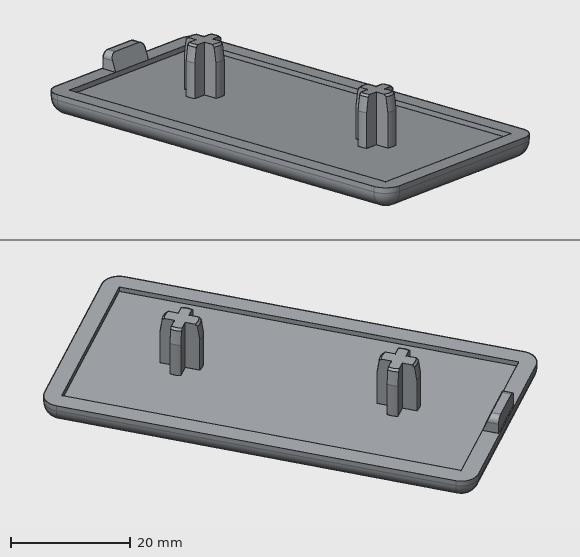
import cadquery as cq

length = 76.2
width = 38.1
plate_height = 4.05
edge_radius = 3.05
rim_width = 3.05
recess_depth = 0.9
floor_height = plate_height - recess_depth

total_height = 12.5
post_spacing = 38.1
post_diameter = 7.3
tip_diameter = 6.55
taper_height = 3.05
tip_bevel_height = 0.4
tip_bevel = 0.4
arm_width_x = 2.1
arm_width_y = 1.9

tab_width = 8.4
tab_height = 3.1
tab_inset = 0.2
tab_top_depth = 1.7
tab_corner_radius = 1.2


def make_plate():
    plate = (
        cq.Workplane("XY")
        .rect(length, width)
        .extrude(plate_height)
        .edges("|Z")
        .fillet(edge_radius)
        .faces("<Z")
        .edges()
        .fillet(edge_radius)
    )
    recess = (
        cq.Workplane("XY", origin=(0, 0, floor_height))
        .rect(length - 2 * rim_width, width - 2 * rim_width)
        .extrude(recess_depth)
    )
    return plate.cut(recess)


def make_post(center_x):
    """Cross trimmed by a round envelope that narrows towards its tip."""
    height = total_height - floor_height
    radius = post_diameter / 2
    tip_radius = tip_diameter / 2
    cross = (
        cq.Workplane("XY")
        .rect(post_diameter, arm_width_x)
        .extrude(height)
        .union(cq.Workplane("XY").rect(arm_width_y, post_diameter).extrude(height))
    )
    envelope = (
        cq.Workplane("XZ")
        .lineTo(radius, 0)
        .lineTo(radius, height - taper_height)
        .lineTo(tip_radius, height - tip_bevel_height)
        .lineTo(tip_radius - tip_bevel, height)
        .lineTo(0, height)
        .close()
        .revolve(360, (0, 0, 0), (0, 1, 0))
    )
    return cross.intersect(envelope).translate((center_x, 0, floor_height))


def make_tab():
    """Upright tab with a flat outer face and a sloped inner face."""
    outer_x = -length / 2 + tab_inset
    inner_x = -length / 2 + rim_width
    top_z = plate_height + tab_height
    profile = [
        (outer_x, plate_height),
        (inner_x, plate_height),
        (outer_x + tab_top_depth, top_z),
        (outer_x, top_z),
    ]
    return (
        cq.Workplane("XZ")
        .polyline(profile)
        .close()
        .extrude(tab_width / 2, both=True)
        .faces(">Z")
        .edges("|X")
        .fillet(tab_corner_radius)
    )


result = make_plate().union(make_tab())
for side in (-1, 1):
    result = result.union(make_post(side * post_spacing / 2))